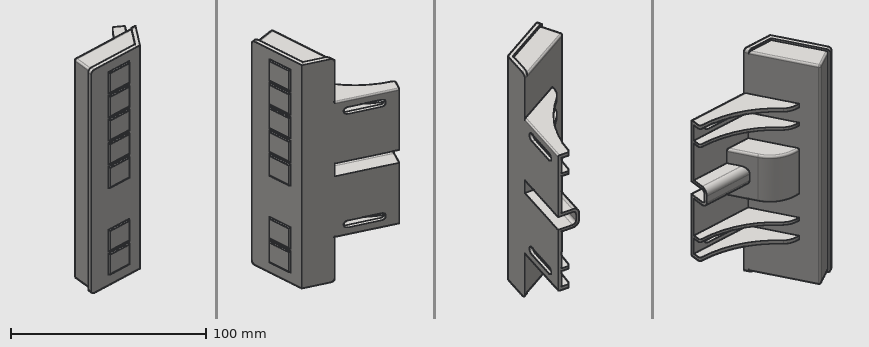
import cadquery as cq
import math

TOTAL_HEIGHT = 146.0
TOTAL_DEPTH = 61.3
SLOPE_ANGLE = math.radians(32.5)
SIN = math.sin(SLOPE_ANGLE)
COS = math.cos(SLOPE_ANGLE)

BACK_WIDTH = 33.0
HOUSING_THICKNESS = 15.0
LID_THICKNESS = 2.3
LID_CORNER_RADIUS = 2.2
BODY_INSET = 1.3
BODY_FILLET = 1.2

BUTTON_SIZE = 14.0
BUTTON_HEIGHT = 0.9
BUTTON_DRAFT = 30.0
BUTTON_PITCH = 15.5
BUTTON_CENTER_Y = 18.7
UPPER_BUTTON_Z = 59.4
UPPER_BUTTON_COUNT = 5
LOWER_BUTTON_Z = -43.7
LOWER_BUTTON_COUNT = 2

PLATE_HEIGHT = 88.6
PLATE_THICKNESS = 2.0
PLATE_FILLET = 0.9
SLOT_START = 7.3
SLOT_LENGTH = 22.8
SLOT_WIDTH = 4.5
SLOT_CENTER_Z = 37.1

RIB_END_DEPTH = 6.9
RIB_TIP_FILLET = 1.3
OUTER_RIB_THICKNESS = 2.3
INNER_RIB_THICKNESS = 1.9
INNER_RIB_Z = 30.1
RIB_ARC_MIDDLE = (-30.8, 39.7)
RIB_ARC_END = (-21.2, 19.4)
RIB_TOE_MIDDLE = (-19.4, 16.2)
RIB_TOE_END = (-17.0, 13.9)

BOSS_HEIGHT = 30.4
BOSS_FRONT_X = -27.0
BOSS_ARC_RADIUS = 20.5
BOSS_ARC_START_Y = 31.2
BOSS_FILLET = 1.3

CHANNEL_WIDTH = 12.1
CHANNEL_DEPTH = 12.4
CHANNEL_WALL = 1.9
CHANNEL_RADIUS = 4.0
CHANNEL_LENGTH = 40.9

TIP_X = -(TOTAL_DEPTH - BACK_WIDTH) / math.tan(SLOPE_ANGLE)
TIP = (TIP_X, TOTAL_DEPTH, 0)
ALONG_SLOPE = (COS, -SIN, 0)
INTO_SLOPE = (-SIN, -COS, 0)
PLATE_LENGTH = (-HOUSING_THICKNESS - TIP_X) / COS

OUTERMOST = cq.selectors.DirectionMinMaxSelector(cq.Vector(*INTO_SLOPE), False)
INNERMOST = cq.selectors.DirectionMinMaxSelector(cq.Vector(*INTO_SLOPE), True)
LENGTHWISE = cq.selectors.ParallelDirSelector(cq.Vector(*ALONG_SLOPE))


def slope_point(along, depth):
    """XY position at a distance along the sloped face and a depth below it."""
    return (TIP_X + along * COS - depth * SIN, TOTAL_DEPTH - along * SIN - depth * COS)


def slope_y(x, depth):
    """Y of the plane parallel to the sloped face at a depth below it."""
    return BACK_WIDTH - x * math.tan(SLOPE_ANGLE) - depth / COS


def prism(outline, z_low, z_high):
    """Closed XY outline extruded between two Z levels."""
    return outline.extrude(z_high - z_low).translate((0, 0, z_low))


def end_plane():
    """Plane of the bracket's free end: local x is Z, local y is the depth below the slope."""
    return cq.Workplane(cq.Plane(origin=TIP, xDir=(0, 0, 1), normal=ALONG_SLOPE))


def make_lid():
    """L-shaped sheet covering the back and the sloped side of the housing."""
    front = -HOUSING_THICKNESS
    half = TOTAL_HEIGHT / 2
    outline = cq.Workplane("XY").polyline([
        (0, 0),
        (0, BACK_WIDTH),
        (front, slope_y(front, 0)),
        (front, slope_y(front, LID_THICKNESS)),
        (-LID_THICKNESS, slope_y(-LID_THICKNESS, LID_THICKNESS)),
        (-LID_THICKNESS, 0),
    ]).close()
    lid = prism(outline, -half, half)
    lid = lid.faces("<Y").edges("|X").fillet(LID_CORNER_RADIUS)
    return lid.faces("<X").edges("|Y").fillet(LID_CORNER_RADIUS)


def make_body():
    """Wedge block under the lid, inset from the lid's edges."""
    front = -HOUSING_THICKNESS
    back = -LID_THICKNESS / 2
    overlap = LID_THICKNESS / 2
    half = TOTAL_HEIGHT / 2 - BODY_INSET
    outline = cq.Workplane("XY").polyline([
        (front, BODY_INSET),
        (back, BODY_INSET),
        (back, slope_y(back, overlap)),
        (front, slope_y(front, overlap)),
    ]).close()
    body = prism(outline, -half, half)
    return body.edges("(<X and |Y) or <Y exc >X").fillet(BODY_FILLET)


def make_buttons():
    """Column of raised square buttons with drafted sides and one wide gap."""
    heights = [UPPER_BUTTON_Z - i * BUTTON_PITCH for i in range(UPPER_BUTTON_COUNT)]
    heights += [LOWER_BUTTON_Z - i * BUTTON_PITCH for i in range(LOWER_BUTTON_COUNT)]
    return (
        cq.Workplane("YZ")
        .pushPoints([(BUTTON_CENTER_Y, z) for z in heights])
        .rect(BUTTON_SIZE, BUTTON_SIZE)
        .extrude(BUTTON_HEIGHT, taper=BUTTON_DRAFT)
    )


def make_plate():
    """Bracket plate flush with the sloped face, running a little into the housing."""
    plate = (
        end_plane()
        .center(0, PLATE_THICKNESS / 2)
        .rect(PLATE_HEIGHT, PLATE_THICKNESS)
        .extrude(PLATE_LENGTH + PLATE_THICKNESS)
    )
    return plate.faces(OUTERMOST).edges(LENGTHWISE).fillet(PLATE_FILLET)


def boss_arc_point(x):
    """Point of the boss's rounded front at a given X."""
    across = BOSS_FRONT_X + BOSS_ARC_RADIUS - x
    return (x, BOSS_ARC_START_Y - math.sqrt(BOSS_ARC_RADIUS**2 - across**2))


def make_rib(z_low, z_high):
    """Curved rib that ends on the boss's contour at the housing front."""
    toe = boss_arc_point(-HOUSING_THICKNESS)
    outline = (
        cq.Workplane("XY")
        .moveTo(*slope_point(0, PLATE_THICKNESS))
        .lineTo(*slope_point(0, RIB_END_DEPTH))
        .threePointArc(RIB_ARC_MIDDLE, RIB_ARC_END)
        .threePointArc(RIB_TOE_MIDDLE, RIB_TOE_END)
        .lineTo(*toe)
        .lineTo(-HOUSING_THICKNESS, slope_y(-HOUSING_THICKNESS, PLATE_THICKNESS))
        .close()
    )
    rib = prism(outline, z_low, z_high)
    return rib.edges("|Z").edges("<X").fillet(RIB_TIP_FILLET)


def make_ribs():
    """Two pairs of ribs, mirrored about the middle of the bracket."""
    outer_z = PLATE_HEIGHT / 2
    outer_rib = make_rib(outer_z - OUTER_RIB_THICKNESS, outer_z)
    ribs = outer_rib.union(make_rib(INNER_RIB_Z, INNER_RIB_Z + INNER_RIB_THICKNESS))
    return ribs.union(ribs.mirror("XY"))


def make_boss():
    """Boss with a flat front, a rounded lower side and softened rims."""
    front = -HOUSING_THICKNESS
    half = BOSS_HEIGHT / 2
    arc_middle = boss_arc_point((BOSS_FRONT_X + front) / 2)
    outline = (
        cq.Workplane("XY")
        .moveTo(BOSS_FRONT_X, slope_y(BOSS_FRONT_X, PLATE_THICKNESS / 2))
        .lineTo(BOSS_FRONT_X, BOSS_ARC_START_Y)
        .threePointArc(arc_middle, boss_arc_point(front))
        .lineTo(front, slope_y(front, PLATE_THICKNESS / 2))
        .close()
    )
    boss = prism(outline, -half, half)
    return boss.faces("<X or %CYLINDER").edges("#Z").fillet(BOSS_FILLET)


def make_trough(width, depth, radius, length):
    """U-shaped bar sunk below the sloped face, rounded along its bottom edges."""
    bar = end_plane().center(0, depth / 2).rect(width, depth).extrude(length)
    return bar.faces(INNERMOST).edges(LENGTHWISE).fillet(radius)


def make_channel_cavity():
    """Hollow of the channel, open at the bracket's outer face and free end."""
    return make_trough(
        CHANNEL_WIDTH - 2 * CHANNEL_WALL,
        CHANNEL_DEPTH - CHANNEL_WALL,
        CHANNEL_RADIUS - CHANNEL_WALL,
        PLATE_LENGTH,
    )


def make_slots():
    """Cutters for the two round-ended mounting slots."""
    along = SLOT_START + SLOT_LENGTH / 2
    plane = cq.Plane(origin=TIP, xDir=ALONG_SLOPE, normal=INTO_SLOPE)
    return (
        cq.Workplane(plane)
        .pushPoints([(along, SLOT_CENTER_Z), (along, -SLOT_CENTER_Z)])
        .slot2D(SLOT_LENGTH, SLOT_WIDTH)
        .extrude(PLATE_THICKNESS)
    )


result = (
    make_lid()
    .union(make_body())
    .union(make_buttons())
    .union(make_plate())
    .union(make_ribs())
    .union(make_boss())
    .union(make_trough(CHANNEL_WIDTH, CHANNEL_DEPTH, CHANNEL_RADIUS, CHANNEL_LENGTH))
    .cut(make_channel_cavity())
    .cut(make_slots())
)